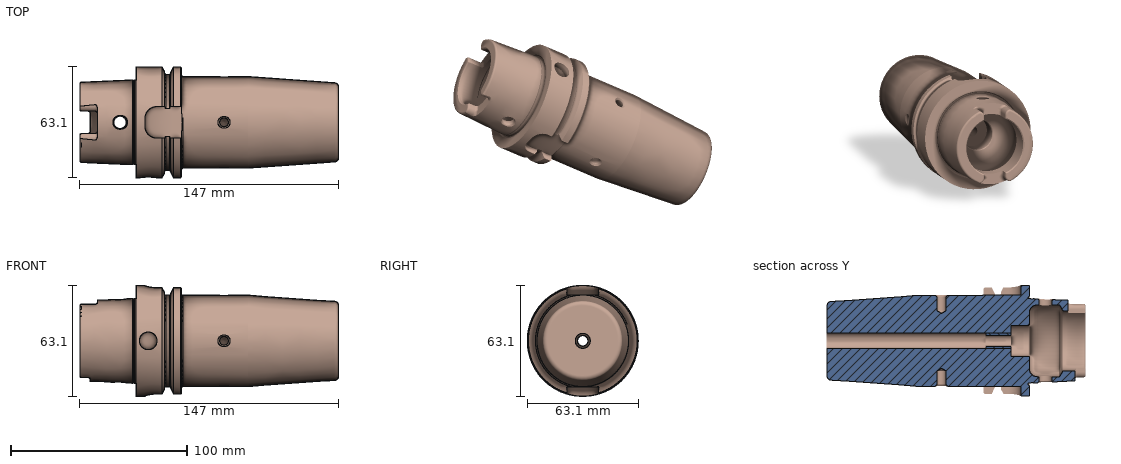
import cadquery as cq
import math

length = 147.0

shank_end_radius = 22.8
shank_root_radius = 24.1
shank_taper_end = 29.8
shank_edge_fillet = 1.0
neck_radius = 23.8
neck_slope = 0.5
neck_end = 30.7
face_recess_radius = 25.5
face_recess_depth = 0.6

flange_radius = 31.53
flange_start = 31.9
flange_end = 57.8
flange_edge_chamfer = 0.6
groove_radius = 27.3
groove_left_edge = 46.6
groove_left_foot = 48.0
groove_left_foot_radius = 29.0
groove_corner_radius = 0.7
groove_floor_end = 50.9
groove_right_foot = 51.5
groove_right_edge = 53.2

nose_radius = 26.0
nose_cylinder_end = 95.7
nose_tip_radius = 22.3
nose_tip_fillet = 2.5
flange_nose_fillet = 0.9

mouth_radius = 16.9
mouth_chamfer = 0.6
lip_end = 13.0
clamping_groove_radius = 20.3
clamping_groove_angle = 60.0
cavity_depth = 31.9
cavity_floor_fillet = 4.4
tube_hole_radius = 8.7
tube_hole_chamfer = 0.5
tube_hole_depth = 10.3
passage_radius = 4.3

slot_half_width = 6.3
slot_shoulder_radius = 3.0
slot_shoulder_height = 20.9
slot_floor_fillet = 1.3
slot_outer_half_width = 11.8
top_slot_depth = 10.0
bottom_slot_depth = 5.9

cross_hole_x = 22.8
cross_hole_radius = 3.5
cross_hole_rim_radius = 4.3

pocket_start = 36.9
pocket_half_width = 9.0
pocket_corner_radius = 6.9
pocket_floor_height = 26.2

chip_hole_x = 38.8
chip_hole_radius = 5.0
chip_hole_floor = 26.9

balance_hole_x = 81.9
balance_hole_count = 4
balance_hole_radius = 2.5
balance_hole_rim_radius = 3.5
balance_hole_depth = 8.8
drill_point_angle = 118.0

screw_bore_radius = 3.0
screw_length = 14.7

clearance = 1.5


def outer_body():
    """Shank, flange and nose as one turned solid."""
    recess_floor = flange_start + face_recess_depth
    groove_corner_top = groove_radius + groove_corner_radius
    return (
        cq.Workplane("XY")
        .moveTo(0, 0)
        .lineTo(0, shank_end_radius)
        .lineTo(shank_taper_end, shank_root_radius)
        .lineTo(shank_taper_end + neck_slope, neck_radius)
        .lineTo(neck_end, neck_radius)
        .lineTo(neck_end + neck_slope, shank_root_radius)
        .lineTo(recess_floor, shank_root_radius)
        .lineTo(recess_floor, face_recess_radius - face_recess_depth)
        .lineTo(flange_start, face_recess_radius)
        .lineTo(flange_start, flange_radius)
        .lineTo(groove_left_edge, flange_radius)
        .lineTo(groove_left_foot, groove_left_foot_radius)
        .lineTo(groove_left_foot, groove_corner_top)
        .radiusArc((groove_left_foot + groove_corner_radius, groove_radius), -groove_corner_radius)
        .lineTo(groove_floor_end, groove_radius)
        .radiusArc((groove_right_foot, groove_corner_top), -groove_corner_radius)
        .lineTo(groove_right_edge, flange_radius)
        .lineTo(flange_end - flange_edge_chamfer, flange_radius)
        .lineTo(flange_end, flange_radius - flange_edge_chamfer)
        .lineTo(flange_end, nose_radius + flange_nose_fillet)
        .radiusArc((flange_end + flange_nose_fillet, nose_radius), -flange_nose_fillet)
        .lineTo(nose_cylinder_end, nose_radius)
        .lineTo(length, nose_tip_radius)
        .lineTo(length, 0)
        .close()
        .revolve(360, (0, 0, 0), (1, 0, 0))
        .faces(">X")
        .edges()
        .fillet(nose_tip_fillet)
        .faces("<X")
        .edges()
        .fillet(shank_edge_fillet)
    )


def slot_cutter(depth):
    """Drive slot on the +Z side: straight walls that flare out through rounded shoulders."""
    wall_top = slot_shoulder_height - slot_shoulder_radius
    shoulder_y = slot_half_width + slot_shoulder_radius
    shoulder_mid_y = shoulder_y - slot_shoulder_radius * math.cos(math.radians(45))
    shoulder_mid_z = wall_top + slot_shoulder_radius * math.sin(math.radians(45))
    top = flange_radius
    profile = (
        cq.Workplane("YZ")
        .moveTo(slot_half_width, 0)
        .lineTo(slot_half_width, wall_top)
        .threePointArc((shoulder_mid_y, shoulder_mid_z), (shoulder_y, slot_shoulder_height))
        .lineTo(slot_outer_half_width, slot_shoulder_height)
        .lineTo(slot_outer_half_width, top)
        .lineTo(-slot_outer_half_width, top)
        .lineTo(-slot_outer_half_width, slot_shoulder_height)
        .lineTo(-shoulder_y, slot_shoulder_height)
        .threePointArc((-shoulder_mid_y, shoulder_mid_z), (-slot_half_width, wall_top))
        .lineTo(-slot_half_width, 0)
        .close()
    )
    slot = profile.extrude(depth)
    slot = slot.faces(">X").edges("not(<Z or >Z or <Y or >Y)").fillet(slot_floor_fillet)
    block = (
        cq.Workplane("YZ")
        .center(0, top / 2)
        .rect(2 * slot_outer_half_width, top)
        .extrude(depth)
    )
    beside_slot = block.cut(slot)
    beside_slot = beside_slot.faces("<X").edges("not(<Z or <Y or >Y)").fillet(shank_edge_fillet)
    return block.cut(beside_slot)


def shank_cavity():
    """Stepped axial opening from the shank mouth to the nose tip."""
    lip_run = (clamping_groove_radius - mouth_radius) / math.tan(math.radians(clamping_groove_angle))
    tube_hole_end = cavity_depth + tube_hole_depth
    fillet_start = cavity_depth - cavity_floor_fillet
    return (
        cq.Workplane("XY")
        .moveTo(0, 0)
        .lineTo(0, mouth_radius + mouth_chamfer)
        .lineTo(mouth_chamfer, mouth_radius)
        .lineTo(lip_end, mouth_radius)
        .lineTo(lip_end + lip_run, clamping_groove_radius)
        .lineTo(fillet_start, clamping_groove_radius)
        .radiusArc((cavity_depth, clamping_groove_radius - cavity_floor_fillet), cavity_floor_fillet)
        .lineTo(cavity_depth, tube_hole_radius + tube_hole_chamfer)
        .lineTo(cavity_depth + tube_hole_chamfer, tube_hole_radius)
        .lineTo(tube_hole_end, tube_hole_radius)
        .lineTo(tube_hole_end, passage_radius)
        .lineTo(length, passage_radius)
        .lineTo(length, 0)
        .close()
        .revolve(360, (0, 0, 0), (1, 0, 0))
    )


def cross_hole_cutter():
    """Radial hole through both shank walls with a countersunk rim outside."""
    rim_depth = cross_hole_rim_radius - cross_hole_radius
    surface = shank_end_radius + (shank_root_radius - shank_end_radius) * cross_hole_x / shank_taper_end
    half = (
        cq.Workplane("XZ")
        .moveTo(0, 0)
        .lineTo(cross_hole_radius, 0)
        .lineTo(cross_hole_radius, surface - rim_depth)
        .lineTo(cross_hole_rim_radius, surface)
        .lineTo(cross_hole_rim_radius, surface + clearance)
        .lineTo(0, surface + clearance)
        .close()
        .revolve(360, (0, 0, 0), (0, 1, 0))
    )
    return half.union(half.mirror("XY")).translate((cross_hole_x, 0, 0))


def pocket_cutter():
    """Driving pocket on the +Z side, open toward the nose."""
    pocket_length = flange_end + flange_nose_fillet - pocket_start
    return (
        cq.Workplane("XY", origin=(pocket_start, 0, pocket_floor_height))
        .rect(2 * pocket_length, 2 * pocket_half_width)
        .extrude(flange_radius)
        .translate((pocket_length, 0, 0))
        .edges("|Z and <X")
        .fillet(pocket_corner_radius)
    )


def chip_hole_cutter():
    """Blind radial hole on the -Y side of the flange."""
    return (
        cq.Workplane("XZ", origin=(chip_hole_x, -chip_hole_floor, 0))
        .circle(chip_hole_radius)
        .extrude(flange_radius)
    )


def balance_hole_cutter():
    """Blind drilled hole on the +Z side of the nose with a countersunk rim."""
    bottom = nose_radius - balance_hole_depth
    point_height = balance_hole_radius / math.tan(math.radians(drill_point_angle / 2))
    rim_depth = balance_hole_rim_radius - balance_hole_radius
    return (
        cq.Workplane("XZ")
        .moveTo(0, bottom - point_height)
        .lineTo(balance_hole_radius, bottom)
        .lineTo(balance_hole_radius, nose_radius - rim_depth)
        .lineTo(balance_hole_rim_radius, nose_radius)
        .lineTo(balance_hole_rim_radius, nose_radius + clearance)
        .lineTo(0, nose_radius + clearance)
        .close()
        .revolve(360, (0, 0, 0), (0, 1, 0))
        .translate((balance_hole_x, 0, 0))
    )


def around_axis(shape, angle):
    """The shape turned about the spindle axis."""
    return shape.rotate((0, 0, 0), (1, 0, 0), angle)


def make_housing():
    """Tool holder body with all its slots, pockets and holes."""
    body = outer_body()
    for depth, angle in ((top_slot_depth, 0), (bottom_slot_depth, 180)):
        body = body.cut(around_axis(slot_cutter(depth), angle))
    body = body.cut(shank_cavity())
    body = body.cut(cross_hole_cutter())
    for angle in (0, 180):
        body = body.cut(around_axis(pocket_cutter(), angle))
    body = body.cut(chip_hole_cutter())
    for index in range(balance_hole_count):
        body = body.cut(around_axis(balance_hole_cutter(), 360 / balance_hole_count * index))
    return body


def make_stop_screw():
    """Tubular screw seated in the passage, flush with the floor of the tube hole."""
    return (
        cq.Workplane("YZ", origin=(cavity_depth + tube_hole_depth, 0, 0))
        .circle(passage_radius)
        .circle(screw_bore_radius)
        .extrude(screw_length)
    )


housing = make_housing()
stop_screw = make_stop_screw()

result = cq.Compound.makeCompound([housing.val(), stop_screw.val()])